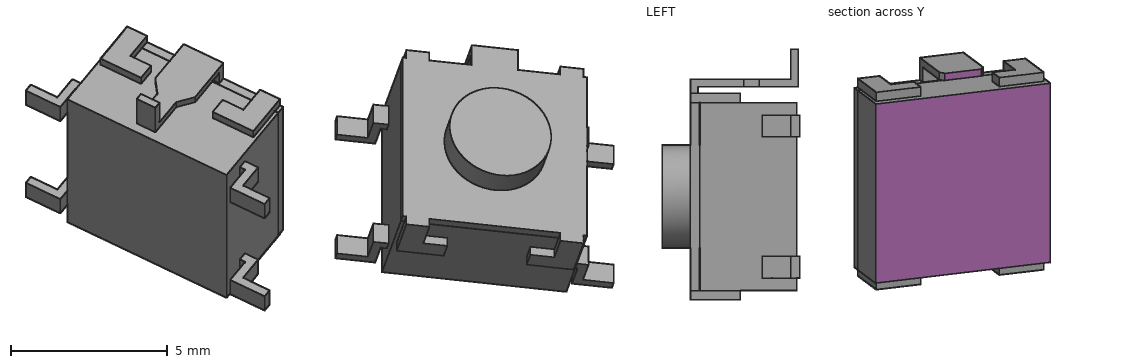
import cadquery as cq

side = 6.0
half_side = side / 2
housing_depth = 3.4
cover_thickness = 0.3
cover_gap = 0.01

button_diameter = 3.3
button_height = 0.9

hook_thickness = 0.3
hook_outer_x = 2.88
hook_arm_width = 0.75
hook_length_x = 1.53
hook_reach = 1.6
hook_toe_width = 0.6

ground_thickness = 0.25
ground_width = 1.5
ground_tail_width = 0.7
ground_top_z = half_side + 0.75
ground_tail_top_z = half_side + 1.7
ground_reach = 3.45
taper_start = 1.7
taper_end = 2.2

lead_thickness = 0.3
lead_width = 0.7
lead_tip_x = 4.5
lead_bend_x = 3.5
lead_z = 2.25
lead_shoulder = 2.3
lead_reach = 3.5

block_front = -(cover_thickness + cover_gap)


def box(x_range, y_range, z_range):
    """Axis-aligned box between the given limits."""
    (x0, x1), (y0, y1), (z0, z1) = x_range, y_range, z_range
    return cq.Workplane("XY").box(x1 - x0, y1 - y0, z1 - z0, centered=False).translate((x0, y0, z0))


def extrude_along_z(points, z_bottom, height):
    """Prism whose X-Y outline starts at z_bottom."""
    return cq.Workplane("XY").workplane(offset=z_bottom).polyline(points).close().extrude(height)


def make_block():
    return box((-half_side, half_side), (-housing_depth, block_front), (-half_side, half_side))


def make_cover():
    return box((-half_side, half_side), (-cover_thickness, 0), (-half_side, half_side))


def make_button():
    """Button passing through the cover and seated on the housing block."""
    button_length = button_height - block_front
    return (
        cq.Workplane("XZ", origin=(0, button_height, 0))
        .circle(button_diameter / 2)
        .extrude(button_length)
    )


def make_hook(x_sign, z_bottom):
    """L-shaped hook with its toe pointing toward the middle of the part."""
    outer = x_sign * hook_outer_x
    arm_inner = x_sign * (hook_outer_x - hook_arm_width)
    toe_inner = x_sign * (hook_outer_x - hook_length_x)
    toe_front = hook_toe_width - hook_reach
    outline = [
        (outer, 0),
        (arm_inner, 0),
        (arm_inner, toe_front),
        (toe_inner, toe_front),
        (toe_inner, -hook_reach),
        (outer, -hook_reach),
    ]
    return extrude_along_z(outline, z_bottom, hook_thickness)


def make_ground_terminal():
    """Post on the cover edge, tapered plate over the housing and upturned tail."""
    half_width = ground_width / 2
    half_tail = ground_tail_width / 2
    plate_bottom_z = ground_top_z - ground_thickness
    outline = [
        (-half_width, 0),
        (half_width, 0),
        (half_width, -taper_start),
        (half_tail, -taper_end),
        (half_tail, -ground_reach),
        (-half_tail, -ground_reach),
        (-half_tail, -taper_end),
        (-half_width, -taper_start),
    ]
    plate = extrude_along_z(outline, plate_bottom_z, ground_thickness)
    post = box((-half_width, half_width), (-ground_thickness, 0), (half_side, ground_top_z))
    tail = box(
        (-half_tail, half_tail),
        (-ground_reach, ground_thickness - ground_reach),
        (plate_bottom_z, ground_tail_top_z),
    )
    return plate.union(post).union(tail)


def make_lead(x_sign, z_center):
    """Z-bent lead: shoulder out of the housing, upright, then foot outward."""
    bend_inner_x = lead_bend_x - lead_thickness
    foot_front = lead_thickness - lead_reach
    shoulder_rear = -(lead_shoulder + lead_thickness)
    outline = [
        (half_side, -lead_shoulder),
        (lead_bend_x, -lead_shoulder),
        (lead_bend_x, foot_front),
        (lead_tip_x, foot_front),
        (lead_tip_x, -lead_reach),
        (bend_inner_x, -lead_reach),
        (bend_inner_x, shoulder_rear),
        (half_side, shoulder_rear),
    ]
    signed_outline = [(x_sign * x, y) for x, y in outline]
    return extrude_along_z(signed_outline, z_center - lead_width / 2, lead_width)


result = make_block().union(make_cover()).union(make_button()).union(make_ground_terminal())

for x_sign in (-1, 1):
    for hook_bottom_z in (-half_side - hook_thickness, half_side):
        result = result.union(make_hook(x_sign, hook_bottom_z))
    for z_center in (-lead_z, lead_z):
        result = result.union(make_lead(x_sign, z_center))